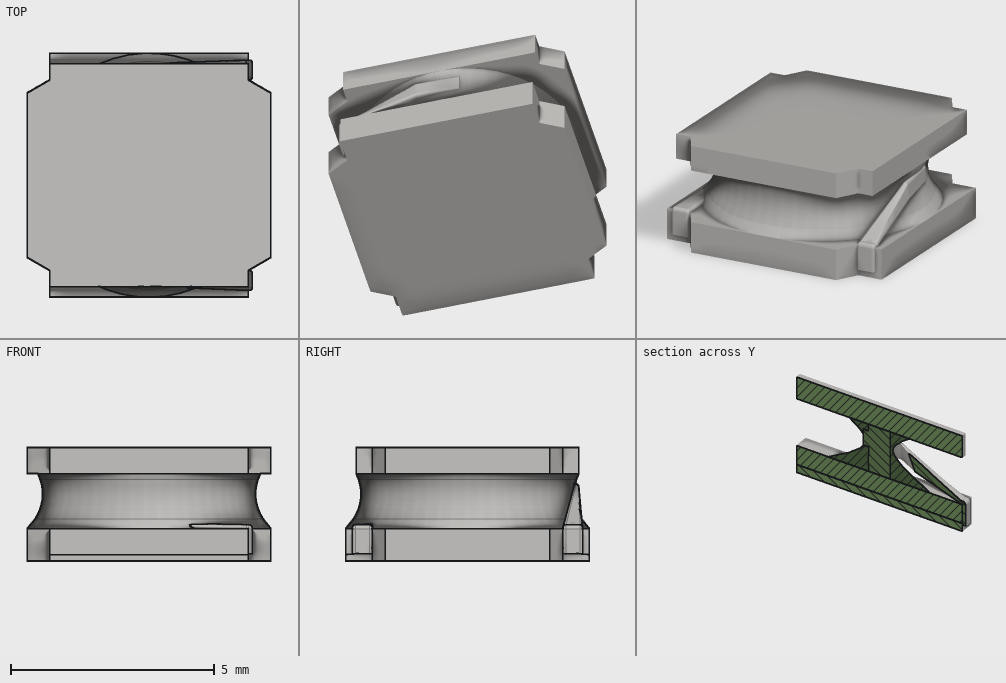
import cadquery as cq
import math


length = 6.0
height = 2.8
lower_flange_thickness = 0.8
upper_flange_thickness = 0.65
upper_flange_width = 5.485
post_diameter = 4.0
notch_depth = 0.56
notch_inner_y = 2.345
notch_angle = math.radians(30)

flange_half_length = length / 2
notch_x = flange_half_length - notch_depth
notch_outer_y = notch_inner_y - notch_depth * math.tan(notch_angle)
upper_flange_bottom = height - upper_flange_thickness

terminal_edge_height = 0.16
terminal_arc_radius = 1.32

coil_diameter = 5.23
lead_width = 0.485
lead_thickness = 0.1
lead_corner_radius = 0.07
lead_end_height = 0.185
bend_lead_in = 0.055
bend_start_x = notch_x - bend_lead_in
lead_center_y = notch_inner_y + lead_width / 2

high_lead_stations = [
    (-0.48, 2.545, 1.74, 90),
    (0.6, 2.65, 1.65, 85),
]
low_lead_tilt = 8
low_lead_start_z = lower_flange_thickness + lead_width / 2 * math.sin(math.radians(low_lead_tilt))
low_lead_stations = [
    (0, 2.49, low_lead_start_z, low_lead_tilt),
]

fill_base = (flange_half_length, lower_flange_thickness)
fill_arc_low = (2.81, 1.04)
fill_arc_waist = (2.635, 1.5)
fill_arc_high = (2.68, 2.01)
fill_top = (upper_flange_width / 2, upper_flange_bottom)


def make_flange(width, thickness, bottom):
    """Rectangular plate with a notch, slanted on its long side, at each corner."""
    half_width = width / 2
    corner_path = [
        (flange_half_length, notch_outer_y),
        (notch_x, notch_inner_y),
        (notch_x, half_width),
    ]
    right_side = [(x, -y) for x, y in reversed(corner_path)] + corner_path
    left_side = [(-x, -y) for x, y in right_side]
    return (
        cq.Workplane("XY")
        .workplane(offset=bottom)
        .polyline(right_side + left_side)
        .close()
        .extrude(thickness)
    )


def make_winding_cylinder(diameter):
    """Cylinder on the central axis that spans the gap between the two flanges."""
    return (
        cq.Workplane("XY")
        .workplane(offset=lower_flange_thickness)
        .circle(diameter / 2)
        .extrude(upper_flange_bottom - lower_flange_thickness)
    )


def make_terminal():
    """Terminal along the +Y edge, with a concave top that rises inward from the edge."""
    edge_y = length / 2

    def arc_height(y):
        drop = math.sqrt(terminal_arc_radius**2 - (edge_y - y) ** 2)
        return terminal_edge_height + terminal_arc_radius - drop

    middle_y = (edge_y + notch_inner_y) / 2
    return (
        cq.Workplane("YZ")
        .moveTo(notch_inner_y, 0)
        .lineTo(edge_y, 0)
        .lineTo(edge_y, terminal_edge_height)
        .threePointArc((middle_y, arc_height(middle_y)), (notch_inner_y, arc_height(notch_inner_y)))
        .close()
        .extrude(notch_x, both=True)
    )


def lead_section(plane):
    """Cross-section of a lead: flat base on the plane's local X axis, rounded outer corners."""
    half_width = lead_width / 2
    side_height = lead_thickness - lead_corner_radius
    half_top = half_width - lead_corner_radius
    return (
        cq.Workplane(plane)
        .moveTo(-half_width, 0)
        .lineTo(half_width, 0)
        .lineTo(half_width, side_height)
        .radiusArc((half_top, lead_thickness), -lead_corner_radius)
        .lineTo(-half_top, lead_thickness)
        .radiusArc((-half_width, side_height), -lead_corner_radius)
        .close()
    )


def station_plane(x, y, z, tilt=0):
    """Plane across a lead, its base line centred at the point and its outer edge tilted down."""
    angle = math.radians(tilt)
    return cq.Plane(
        origin=(x, y, z),
        xDir=(0, math.cos(angle), -math.sin(angle)),
        normal=(1, 0, 0),
    )


def make_lead(stations):
    """Lead on the +Y side: from the coil to the flange edge, then down the notch wall.

    Each station is (x, y, z, tilt in degrees) of the run between the coil and the bend.
    """
    bend_start_plane = station_plane(bend_start_x, lead_center_y, lower_flange_thickness)
    edge_plane = station_plane(notch_x, lead_center_y, lower_flange_thickness)
    wall_plane = cq.Plane(origin=edge_plane.origin, xDir=(0, 1, 0), normal=(0, 0, -1))

    run_planes = [station_plane(*station) for station in stations] + [bend_start_plane]
    run_sections = [lead_section(plane).wires().val() for plane in run_planes]
    run = cq.Workplane(cq.Solid.makeLoft(run_sections, True))
    flat = lead_section(bend_start_plane).extrude(notch_x - bend_start_x)
    bend = lead_section(edge_plane).revolve(90, (0, 0, 0), (1, 0, 0))
    leg = lead_section(wall_plane).extrude(lower_flange_thickness - lead_end_height)
    return run.union(flat).union(bend).union(leg)


terminals = [make_terminal(), make_terminal().mirror("XZ")]
post = make_winding_cylinder(post_diameter)
core = (
    make_flange(length, lower_flange_thickness, 0)
    .union(post)
    .union(make_flange(upper_flange_width, upper_flange_thickness, upper_flange_bottom))
)
for terminal in terminals:
    core = core.cut(terminal)

high_lead = make_lead(high_lead_stations)
low_lead = make_lead(low_lead_stations).mirror("XZ")
coil = make_winding_cylinder(coil_diameter).cut(post).union(high_lead).union(low_lead)

fill = (
    cq.Workplane("XZ")
    .moveTo(0, lower_flange_thickness)
    .lineTo(*fill_base)
    .lineTo(*fill_arc_low)
    .threePointArc(fill_arc_waist, fill_arc_high)
    .lineTo(*fill_top)
    .lineTo(0, upper_flange_bottom)
    .close()
    .revolve(360, (0, 0, 0), (0, 1, 0))
    .cut(post)
    .cut(coil)
)

result = cq.Compound.makeCompound(
    [core.val(), coil.val(), fill.val(), *(terminal.val() for terminal in terminals)]
)